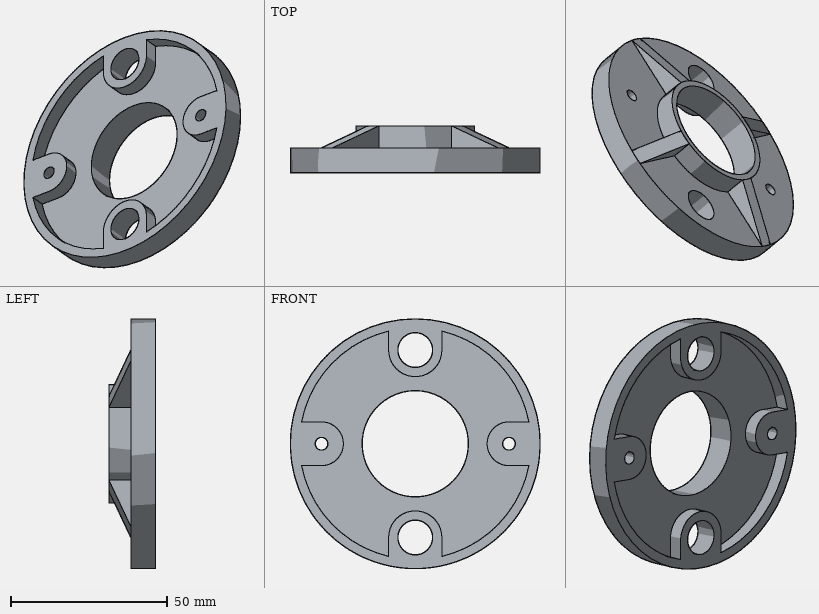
import cadquery as cq
import math

outer_diameter = 79.95
disc_thickness = 8
total_depth = 15.0

hub_diameter = 38.0
bore_diameter = 33.9

pocket_diameter = 74.0
pocket_depth = 5.0
hole_pitch_radius = 30.0
large_pad_width = 17.0
large_hole_diameter = 11.0
small_pad_width = 14.0
small_hole_diameter = 4

rib_count = 4
rib_thickness = 5.0
rib_first_angle = 45

half_rib = rib_thickness / 2
rib_inner_reach = math.sqrt((hub_diameter / 2) ** 2 - half_rib ** 2)
rib_outer_reach = math.sqrt((outer_diameter / 2) ** 2 - half_rib ** 2)


def cylinder(diameter, y_start, y_end, x=0, z=0):
    """Cylinder along Y between two Y positions."""
    direction = cq.Vector(0, 1, 0)
    base = cq.Vector(x, y_start, z)
    return cq.Workplane(cq.Solid.makeCylinder(diameter / 2, y_end - y_start, base, direction))


def pad(width, angle):
    """Pad with a rounded inner end that runs straight outward into the rim."""
    rounded_end = cylinder(width, 0, pocket_depth, x=hole_pitch_radius)
    length = outer_diameter / 2 - hole_pitch_radius
    straight = cq.Workplane().box(length, pocket_depth, width, centered=(False, False, True))
    straight = straight.translate((hole_pitch_radius, 0, 0))
    return rounded_end.union(straight).rotate((0, 0, 0), (0, 1, 0), angle)


def rib(angle):
    """Triangular rib sloping from the hub's end face down to the rim."""
    profile = (
        cq.Workplane("XY")
        .moveTo(bore_diameter / 2, disc_thickness)
        .lineTo(rib_outer_reach, disc_thickness)
        .lineTo(rib_inner_reach, total_depth)
        .lineTo(bore_diameter / 2, total_depth)
        .close()
    )
    return profile.extrude(half_rib, both=True).rotate((0, 0, 0), (0, 1, 0), angle)


pocket = cylinder(pocket_diameter, 0, pocket_depth)
for side_angle in (0, 180):
    pocket = pocket.cut(pad(small_pad_width, side_angle))
    pocket = pocket.cut(pad(large_pad_width, side_angle + 90))

result = cylinder(outer_diameter, 0, disc_thickness).cut(pocket)
result = result.union(cylinder(hub_diameter, pocket_depth, total_depth))
for index in range(rib_count):
    result = result.union(rib(rib_first_angle + index * 360 / rib_count))

result = result.cut(cylinder(bore_diameter, 0, total_depth))
for side in (-1, 1):
    offset = side * hole_pitch_radius
    result = result.cut(cylinder(small_hole_diameter, 0, total_depth, x=offset))
    result = result.cut(cylinder(large_hole_diameter, 0, total_depth, z=offset))